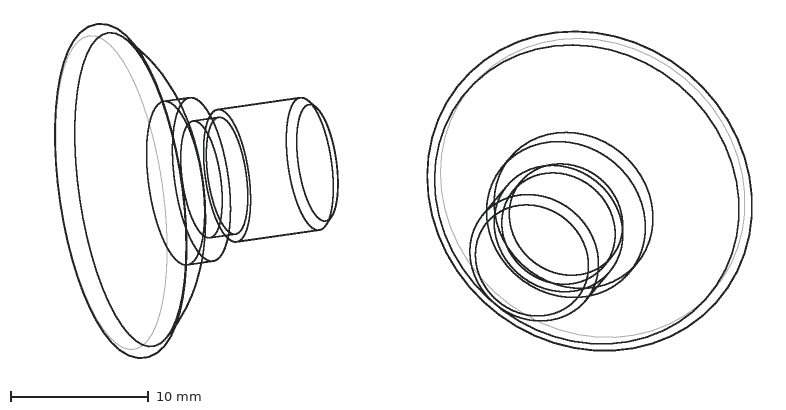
import cadquery as cq

foot_radius = 12.25
rim_height = 1.5
collar_start = 5.0
collar_end = 7.0
neck_end = 9.0
total_length = 16.0
collar_radius = 12.0 / 2
neck_radius = 8.58 / 2
shank_radius = 9.73 / 2
end_chamfer = 0.6
dome_bulge = 0.55

rim_radius = rim_height / 2
sole_radius = foot_radius - rim_radius

profile = (
    cq.Workplane("XY")
    .lineTo(sole_radius, 0)
    .threePointArc((foot_radius, rim_radius), (sole_radius, rim_height))
    .sagittaArc((collar_radius, collar_start), -dome_bulge)
    .lineTo(collar_radius, collar_end)
    .lineTo(neck_radius, collar_end)
    .lineTo(neck_radius, neck_end)
    .lineTo(shank_radius, neck_end)
    .lineTo(shank_radius, total_length - end_chamfer)
    .lineTo(shank_radius - end_chamfer, total_length)
    .lineTo(0, total_length)
    .close()
)

result = profile.revolve(360, (0, 0, 0), (0, 1, 0))